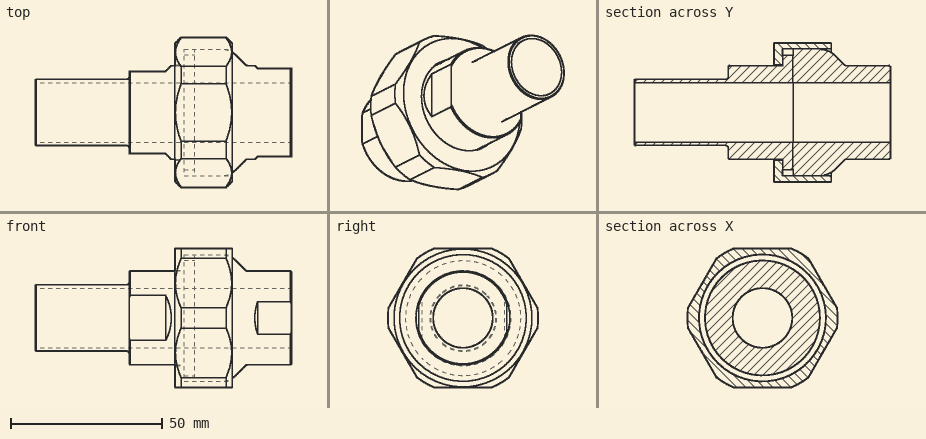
import cadquery as cq
import math

total_length = 84.5
bore_radius = 19.6 / 2
collar_radius = 31.0 / 2
edge_chamfer = 0.3

nut_start = 46.0
nut_end = 65.0
across_flats = 46.0
across_corners = 49.7
nut_face_radius = 45.55 / 2
nut_chamfer = across_corners / 2 - nut_face_radius
nut_opening_radius = 31.5 / 2
nut_lip = 2.95
cavity_start = nut_start + nut_lip
cavity_radius = 41.8 / 2

pipe_radius = 22.0 / 2
pipe_chamfer = 0.25
collar_start = 30.9
pipe_fillet = 0.85
flange_radius = 38.0 / 2
joint_x = 52.4
tail_flat_width = 27.2
tail_flat_end = 42.9

neck_start = 69.6
neck_fillet = 0.7
shoulder_round = 7.2
neck_flat_width = 29.1
neck_flat_start = 73.35

DIAGONAL = math.sqrt(0.5)


def cylinder(start, end, radius):
    """Cylinder along the X axis."""
    return cq.Workplane("YZ", origin=(start, 0, 0)).circle(radius).extrude(end - start)


def revolve_profile(profile):
    """Revolve a closed (x, radius) profile about the X axis."""
    return profile.close().revolve(360, (0, 0, 0), (1, 0, 0))


def cut_wrench_flats(body, flat_width, flat_edge, open_end):
    """Cut two flats on the Y sides, from the open end to the flat edge, with 45 degree run-outs."""
    half_width = flat_width / 2
    depth = collar_radius - half_width + 0.85
    run_out = math.copysign(depth, flat_edge - open_end)
    for side in (-1, 1):
        cutter = (
            cq.Workplane("XY")
            .moveTo(open_end, side * half_width)
            .lineTo(flat_edge, side * half_width)
            .lineTo(flat_edge + run_out, side * (half_width + depth))
            .lineTo(open_end, side * (half_width + depth))
            .close()
            .extrude(collar_radius, both=True)
        )
        body = body.cut(cutter)
    return body


def make_tailpiece():
    """Plain pipe end with a flatted collar and a flange held behind the nut lip."""
    fillet_offset = pipe_fillet * (1 - DIAGONAL)
    profile = (
        cq.Workplane("XY")
        .moveTo(0, bore_radius)
        .lineTo(0, pipe_radius - pipe_chamfer)
        .lineTo(pipe_chamfer, pipe_radius)
        .lineTo(collar_start - pipe_fillet, pipe_radius)
        .threePointArc(
            (collar_start - fillet_offset, pipe_radius + fillet_offset),
            (collar_start, pipe_radius + pipe_fillet),
        )
        .lineTo(collar_start, collar_radius - edge_chamfer)
        .lineTo(collar_start + edge_chamfer, collar_radius)
        .lineTo(cavity_start, collar_radius)
        .lineTo(cavity_start, flange_radius)
        .lineTo(joint_x, flange_radius)
        .lineTo(joint_x, bore_radius)
    )
    return cut_wrench_flats(revolve_profile(profile), tail_flat_width, tail_flat_end, collar_start)


def make_end_body():
    """Cylinder inside the nut, rounded 45 degree shoulder, and a neck with wrench flats."""
    shoulder_radius = cavity_radius - shoulder_round * (1 - DIAGONAL)
    shoulder_x = neck_start - (shoulder_radius - collar_radius)
    arc_start = shoulder_x - shoulder_round * DIAGONAL
    arc_middle = (
        arc_start + shoulder_round * math.sin(math.pi / 8),
        cavity_radius - shoulder_round * (1 - math.cos(math.pi / 8)),
    )
    tangent_length = neck_fillet * math.tan(math.pi / 8)
    fillet_end = neck_start + tangent_length
    fillet_middle = (
        fillet_end - neck_fillet * math.sin(math.pi / 8),
        collar_radius + neck_fillet * (1 - math.cos(math.pi / 8)),
    )
    profile = (
        cq.Workplane("XY")
        .moveTo(joint_x, bore_radius)
        .lineTo(joint_x, cavity_radius)
        .lineTo(arc_start, cavity_radius)
        .threePointArc(arc_middle, (shoulder_x, shoulder_radius))
        .lineTo(neck_start - tangent_length * DIAGONAL, collar_radius + tangent_length * DIAGONAL)
        .threePointArc(fillet_middle, (fillet_end, collar_radius))
        .lineTo(total_length - edge_chamfer, collar_radius)
        .lineTo(total_length, collar_radius - edge_chamfer)
        .lineTo(total_length, bore_radius)
    )
    return cut_wrench_flats(revolve_profile(profile), neck_flat_width, neck_flat_start, total_length)


def make_nut():
    """Hexagonal nut with flats facing +Z and -Z, turned corners and a stepped bore."""
    hexagon_diameter = across_flats / math.cos(math.pi / 6)
    hexagon = (
        cq.Workplane("YZ", origin=(nut_start, 0, 0))
        .polygon(6, hexagon_diameter)
        .extrude(nut_end - nut_start)
    )
    turned_envelope = (
        cylinder(nut_start, nut_end, across_corners / 2).faces("<X or >X").chamfer(nut_chamfer)
    )
    opening = cylinder(nut_start, nut_end, nut_opening_radius)
    cavity = cylinder(cavity_start, nut_end, cavity_radius)
    return hexagon.intersect(turned_envelope).cut(opening).cut(cavity)


tailpiece = make_tailpiece()
nut = make_nut()
end_body = make_end_body()

result = cq.Compound.makeCompound([*tailpiece.solids().vals(), *nut.solids().vals(), *end_body.solids().vals()])